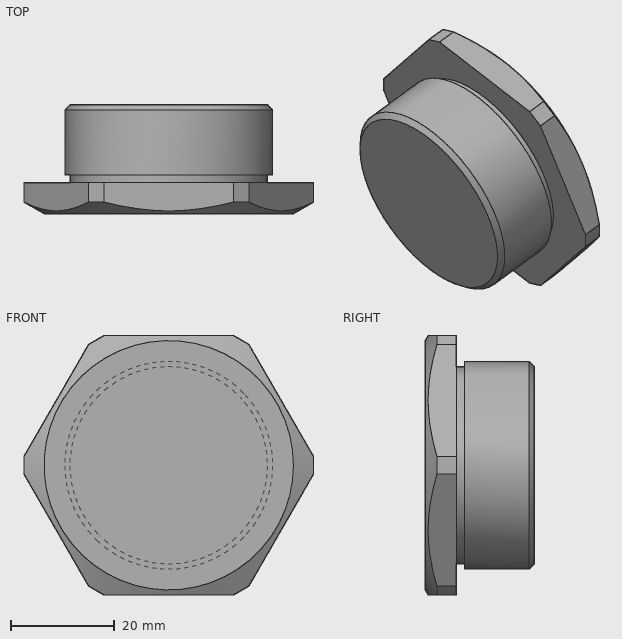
import cadquery as cq
import math

total_length = 21.0
head_thickness = 6.0
across_flats = 50.0
across_trimmed_corners = 55.75
face_diameter = 48.0
head_chamfer_angle = 30.0

neck_diameter = 38.0
neck_length = 1.5
plug_diameter = 40.0
plug_chamfer = 1.0

head_front = -total_length / 2
head_back = head_front + head_thickness
plug_start = head_back + neck_length
plug_length = total_length - head_thickness - neck_length

corner_ratio = 1 / math.cos(math.radians(30))


def cylinder_along_y(diameter, start, length):
    """Solid cylinder on the Y axis from y = start to y = start + length."""
    plane = cq.Workplane("XZ", origin=(0, start, 0))
    return plane.circle(diameter / 2).extrude(-length)


def hexagonal_prism(width_across_flats, turn):
    """Prism as thick as the head; with no turn its flats face +Z and -Z."""
    plane = cq.Workplane("XZ", origin=(0, head_front, 0))
    prism = plane.polygon(6, width_across_flats * corner_ratio).extrude(-head_thickness)
    return prism.rotate((0, 0, 0), (0, 1, 0), turn)


def chamfered_blank():
    """Round blank with a conical front edge that runs out to the sharp hexagon corners."""
    face_radius = face_diameter / 2
    blank_radius = across_flats * corner_ratio / 2
    chamfer_depth = (blank_radius - face_radius) * math.tan(math.radians(head_chamfer_angle))
    profile = (
        cq.Workplane("XY")
        .moveTo(0, head_front)
        .lineTo(face_radius, head_front)
        .lineTo(blank_radius, head_front + chamfer_depth)
        .lineTo(blank_radius, head_back)
        .lineTo(0, head_back)
        .close()
    )
    return profile.revolve(360, (0, 0, 0), (0, 1, 0))


def head():
    """Hexagonal head with trimmed corners and a conical chamfer around its front face."""
    hexagon = hexagonal_prism(across_flats, 0)
    corner_trim = hexagonal_prism(across_trimmed_corners, 30)
    return hexagon.intersect(corner_trim).intersect(chamfered_blank())


def plug():
    """Round plug with a chamfered free end."""
    body = cylinder_along_y(plug_diameter, plug_start, plug_length)
    return body.faces(">Y").chamfer(plug_chamfer)


neck = cylinder_along_y(neck_diameter, head_back, neck_length)

result = head().union(neck).union(plug())